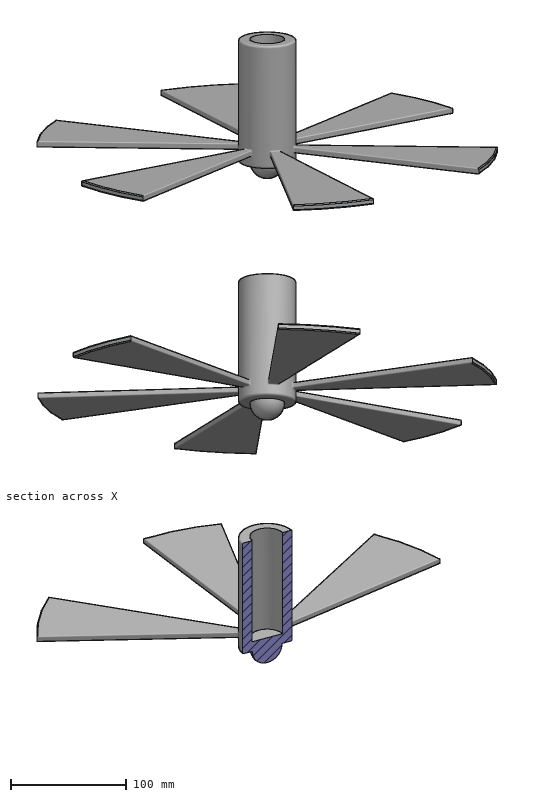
import cadquery as cq
import math

hub_diameter = 50.0
hub_radius = hub_diameter / 2
hub_height = 110.0
bore_diameter = 30.0
bore_radius = bore_diameter / 2
bore_floor = 10.0
rim_fillet = 2.0

ball_radius = bore_radius

blade_count = 6
blade_tip_radius = 200
blade_overlap = 8
blade_root_radius = hub_radius - blade_overlap
blade_mid_height = 13.0
blade_thickness = 5.0
blade_bottom = blade_mid_height - blade_thickness / 2
blade_span_angle = 21
first_blade_angle = -7.1
blade_fillet = 1.0


def polar(radius, angle):
    """Point at a radius and an angle in degrees."""
    turn = math.radians(angle)
    return radius * math.cos(turn), radius * math.sin(turn)


def make_hub():
    """Solid cylinder with rounded rims; its seam is turned into a gap between two blades."""
    cylinder = cq.Workplane("XY").circle(hub_radius).extrude(hub_height)
    seam_angle = first_blade_angle + 180 / blade_count
    return cylinder.edges("%CIRCLE").fillet(rim_fillet).rotate((0, 0, 0), (0, 0, 1), seam_angle)


def make_bore():
    return cq.Workplane("XY", origin=(0, 0, bore_floor)).circle(bore_radius).extrude(hub_height - bore_floor)


def make_ball():
    """Half ball hanging from the underside of the hub."""
    profile = (
        cq.Workplane("XZ")
        .lineTo(ball_radius, 0)
        .radiusArc((0, -ball_radius), ball_radius)
        .close()
    )
    return profile.revolve(360, (0, 0, 0), (0, 1, 0))


def make_blade():
    """Ring sector centred on +X, rounded along its top and bottom edges."""
    half_span = blade_span_angle / 2
    return (
        cq.Workplane("XY", origin=(0, 0, blade_bottom))
        .moveTo(*polar(blade_root_radius, -half_span))
        .lineTo(*polar(blade_tip_radius, -half_span))
        .threePointArc((blade_tip_radius, 0), polar(blade_tip_radius, half_span))
        .lineTo(*polar(blade_root_radius, half_span))
        .threePointArc((blade_root_radius, 0), polar(blade_root_radius, -half_span))
        .close()
        .extrude(blade_thickness)
        .faces("<Z or >Z")
        .edges()
        .fillet(blade_fillet)
    )


def blend_roots(body):
    """Fillet the edges where the blades meet the hub: those centred close to the hub at blade height."""
    reach = hub_radius + blade_fillet
    low_corner = (-reach, -reach, blade_bottom - blade_fillet)
    high_corner = (reach, reach, blade_bottom + blade_thickness + blade_fillet)
    return body.edges(cq.selectors.BoxSelector(low_corner, high_corner)).fillet(blade_fillet)


blade = make_blade()
bladed_hub = make_hub()
for index in range(blade_count):
    blade_angle = first_blade_angle + index * 360 / blade_count
    bladed_hub = bladed_hub.union(blade.rotate((0, 0, 0), (0, 0, 1), blade_angle))

result = blend_roots(bladed_hub).cut(make_bore()).union(make_ball())